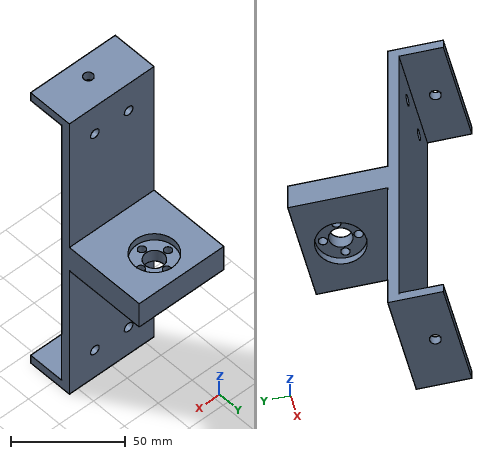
import cadquery as cq

height = 175.0
width = 50.0
thickness = 5.0
flange_depth = 25.0

block_length = 45.0
block_height = 15.0
bore_from_end = 17.5
bore_diameter = 10.7
recess_diameter = 23.0
recess_depth = 4.0
screw_diameter = 4.0
screw_circle_radius = 8.0

mount_diameter = 5.0
plate_hole_from_end = 17.5
plate_hole_spacing = 20.0
flange_hole_from_edge = 10.0

bore_y = block_length - bore_from_end


def make_channel():
    """Back plate with a flange at each end, open toward -Y."""
    outer = cq.Workplane("XY").box(width, flange_depth, height).translate((0, -flange_depth / 2, 0))
    opening = (
        cq.Workplane("XY")
        .box(width, flange_depth, height - 2 * thickness)
        .translate((0, -thickness - flange_depth / 2, 0))
    )
    return outer.cut(opening)


def make_block():
    """Block centred on the plate height, reaching toward +Y."""
    return cq.Workplane("XY").box(width, block_length, block_height).translate((0, block_length / 2, 0))


def make_block_holes():
    """Recess on each face, central bore and a ring of four screw holes."""
    bottom = cq.Workplane("XY", origin=(0, bore_y, -block_height / 2))
    bore = bottom.circle(bore_diameter / 2).extrude(block_height)
    screws = (
        bottom.polarArray(screw_circle_radius, 0, 360, 4)
        .circle(screw_diameter / 2)
        .extrude(block_height)
    )
    recess = cq.Workplane("XY").circle(recess_diameter / 2).extrude(recess_depth)
    top_recess = recess.translate((0, bore_y, block_height / 2 - recess_depth))
    bottom_recess = recess.translate((0, bore_y, -block_height / 2))
    return bore.union(screws).union(top_recess).union(bottom_recess)


def make_plate_holes():
    """Pair of holes through the plate near each end."""
    return (
        cq.Workplane("XZ")
        .rarray(plate_hole_spacing, height - 2 * plate_hole_from_end, 2, 2)
        .circle(mount_diameter / 2)
        .extrude(thickness)
    )


def make_flange_holes():
    """One hole on the same vertical axis through both flanges."""
    return (
        cq.Workplane("XY", origin=(0, flange_hole_from_edge - flange_depth, -height / 2))
        .circle(mount_diameter / 2)
        .extrude(height)
    )


result = make_channel().union(make_block())
for holes in (make_block_holes(), make_plate_holes(), make_flange_holes()):
    result = result.cut(holes)